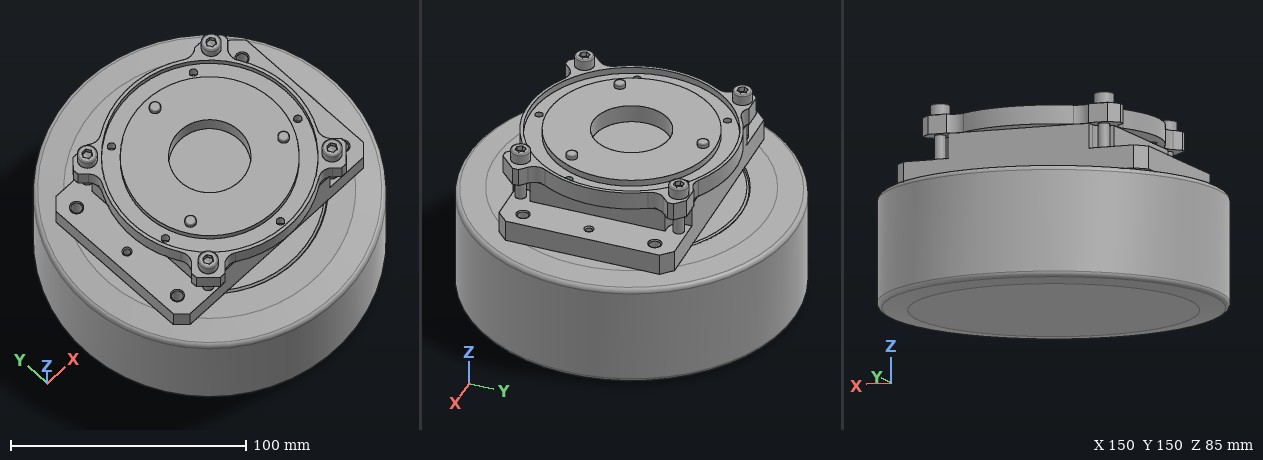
import cadquery as cq
import math

drum_diameter = 150
drum_height = 50.0
flat_diameter = 124.0
end_slope = 5
rim_fillet = 2.1
groove_diameter = 99.9
groove_depth = 0.9
groove_inner_flank = 0.98
groove_outer_flank = 0.5

neck_diameter = 74.0
neck_height = 1.0
plate_length = 115.0
plate_width = 80.0
plate_thickness = 9.9
plate_chamfer = 5.0
block_height = 10.8
relief_radius = 5.2

plate_hole_x = 50.1
thread_y = 30
thread_diameter = 5.0
thread_mouth = 6
dowel_diameter = 3
dowel_mouth = 4.2
dowel_depth = 6

flange_diameter = 95.0
flange_thickness = 8.2
recess_diameter = 92.0
recess_depth = 3
hub_diameter = 76.0
bore_diameter = 35.0
lug_width = 14.1
lug_overhang = 6
lug_chamfer = 2.0
lug_fillet = 6
lug_limit_y = 41.0
recess_hole_count = 5
recess_hole_diameter = 3.5
recess_hole_radius = 42.2
pin_count = 3
pin_diameter = 5.0
pin_height = 1.8
pin_fillet = 0.38
pin_radius = 32.5

overall_height = 85.0
screw_x = 37.5
screw_y = 36
shank_diameter = 5.0
head_diameter = 8.5
head_fillet = 0.6
socket_width = 4.0
socket_depth = 3.5
socket_tip_angle = 30

plate_bottom = drum_height + neck_height
plate_top = plate_bottom + plate_thickness
flange_bottom = plate_top + block_height
flange_top = flange_bottom + flange_thickness
recess_floor = flange_top - recess_depth

sides = [(sx, sy) for sx in (-1, 1) for sy in (-1, 1)]
screw_points = [(sx * screw_x, sy * screw_y) for sx, sy in sides]


def cylinder(diameter, bottom, top, points=((0, 0),)):
    """Upright cylinders between two levels, one at each point."""
    return (
        cq.Workplane("XY", origin=(0, 0, bottom))
        .pushPoints(list(points))
        .circle(diameter / 2)
        .extrude(top - bottom)
    )


def ring_of_points(count, radius, start_angle):
    """Equally spaced points on a circle about the Z axis."""
    angles = [math.radians(start_angle + i * 360 / count) for i in range(count)]
    return [(radius * math.cos(a), radius * math.sin(a)) for a in angles]


def make_drum():
    radius = drum_diameter / 2
    flat = flat_diameter / 2
    slope = math.radians(end_slope)
    drop = (radius - flat) * math.tan(slope)
    tangent_length = rim_fillet * math.tan((math.pi / 2 - slope) / 2)
    fillet_radius = radius - tangent_length * math.cos(slope)
    fillet_drop = drop - tangent_length * math.sin(slope)
    side_start = drop + tangent_length
    groove = groove_diameter / 2
    return (
        cq.Workplane("YZ")
        .lineTo(flat, 0)
        .lineTo(fillet_radius, fillet_drop)
        .tangentArcPoint((radius, side_start), relative=False)
        .lineTo(radius, drum_height - side_start)
        .tangentArcPoint((fillet_radius, drum_height - fillet_drop), relative=False)
        .lineTo(flat, drum_height)
        .lineTo(groove + groove_outer_flank, drum_height)
        .lineTo(groove, drum_height - groove_depth)
        .lineTo(groove - groove_inner_flank, drum_height)
        .lineTo(0, drum_height)
        .close()
        .revolve(360, (0, 0, 0), (0, 1, 0))
    )


def countersunk_hole(diameter, mouth, depth, points):
    """Cutter for holes from the plate top with a 45 degree mouth."""
    chamfer = (mouth - diameter) / 2
    hole = cylinder(diameter, plate_top - depth, plate_top, points)
    cone = (
        cq.Workplane("XY", origin=(0, 0, plate_top))
        .pushPoints(points)
        .circle(mouth / 2)
        .extrude(-chamfer, taper=45)
    )
    return hole.union(cone)


def make_base():
    plate = (
        cq.Workplane("XY", origin=(0, 0, plate_bottom))
        .rect(plate_length, plate_width)
        .extrude(plate_thickness)
        .edges("|Z")
        .chamfer(plate_chamfer)
    )
    threads = [(sx * plate_hole_x, sy * thread_y) for sx, sy in sides]
    dowels = [(-plate_hole_x, 0), (plate_hole_x, 0)]
    plate = plate.cut(countersunk_hole(thread_diameter, thread_mouth, plate_thickness, threads))
    plate = plate.cut(countersunk_hole(dowel_diameter, dowel_mouth, dowel_depth, dowels))

    block = (
        cq.Workplane("XY", origin=(0, 0, plate_top))
        .rect(plate_width, plate_width)
        .extrude(block_height)
    )
    notch_size = 4 * relief_radius
    for sx, sy in sides:
        centre_x = sx * (screw_x - relief_radius + notch_size / 2)
        centre_y = sy * (screw_y - relief_radius + notch_size / 2)
        notch = (
            cq.Workplane("XY", origin=(centre_x, centre_y, plate_top))
            .rect(notch_size, notch_size)
            .extrude(block_height)
            .edges("|Z")
            .fillet(relief_radius)
        )
        block = block.cut(notch)

    neck = cylinder(neck_diameter, drum_height, plate_bottom)
    return neck.union(plate).union(block)


def make_lug(sx, sy):
    """Arm along a diagonal, centred on one screw, from near the axis to its end face."""
    start = flange_diameter / 4
    diagonal = (screw_x + screw_y) / math.sqrt(2)
    shift = (screw_y - screw_x) / math.sqrt(2)
    length = diagonal + lug_overhang - start
    lug = (
        cq.Workplane("XY")
        .center(start + length / 2, shift)
        .rect(length, lug_width)
        .extrude(flange_thickness)
        .edges("|Z and >X")
        .chamfer(lug_chamfer)
        .rotate((0, 0, 0), (0, 0, 1), 45)
    )
    if sx < 0:
        lug = lug.mirror("YZ")
    if sy < 0:
        lug = lug.mirror("XZ")
    return lug.translate((0, 0, flange_bottom))


def make_flange():
    radius = flange_diameter / 2
    tolerance = 0.02
    flange = cylinder(flange_diameter, flange_bottom, flange_top)
    for sx, sy in sides:
        flange = flange.union(make_lug(sx, sy))

    def in_lug_corner(edge):
        centre = edge.Center()
        on_ring = abs(math.hypot(centre.x, centre.y) - radius) < tolerance
        off_axis = abs(centre.y) > tolerance
        return on_ring and off_axis

    corners = [e for e in flange.edges("|Z").vals() if in_lug_corner(e)]
    flange = flange.newObject(corners).fillet(lug_fillet)

    limit_x = math.sqrt(radius ** 2 - lug_limit_y ** 2)
    for sx in (-1, 1):
        trim = (
            cq.Workplane("XY", origin=(0, 0, flange_bottom))
            .moveTo(sx * limit_x, lug_limit_y)
            .lineTo(sx * radius, lug_limit_y)
            .lineTo(sx * radius, radius)
            .lineTo(sx * limit_x, radius)
            .close()
            .extrude(flange_thickness)
        )
        flange = flange.cut(trim)

    hub = cylinder(hub_diameter, recess_floor, flange_top)
    holes = ring_of_points(recess_hole_count, recess_hole_radius, -90)
    pin_points = ring_of_points(pin_count, pin_radius, 90)
    pins = cylinder(pin_diameter, flange_top, flange_top + pin_height, pin_points)
    pins = pins.faces(">Z").edges().fillet(pin_fillet)
    return (
        flange.cut(cylinder(recess_diameter, recess_floor, flange_top))
        .union(hub)
        .cut(cylinder(bore_diameter, flange_bottom, flange_top))
        .cut(cylinder(recess_hole_diameter, flange_bottom, recess_floor, holes))
        .union(pins)
    )


def make_socket():
    """Hexagon with a conical bottom, its mouth centred on the origin."""
    corner_radius = socket_width / math.sqrt(3)
    cone_radius = socket_depth / math.tan(math.radians(socket_tip_angle))
    hexagon = cq.Workplane("XY").polygon(6, 2 * corner_radius).extrude(-socket_depth)
    cone = (
        cq.Workplane("XZ")
        .polyline([(0, -socket_depth), (cone_radius, 0), (0, 0)])
        .close()
        .revolve(360, (0, 0, 0), (0, 1, 0))
    )
    return hexagon.intersect(cone)


def make_screw(x, y):
    head = (
        cylinder(head_diameter, flange_top, overall_height)
        .faces(">Z")
        .edges()
        .fillet(head_fillet)
        .cut(make_socket().translate((0, 0, overall_height)))
    )
    shank = cylinder(shank_diameter, plate_top, flange_top)
    return shank.union(head).translate((x, y, 0))


result = make_drum().union(make_base()).union(make_flange())
for x, y in screw_points:
    result = result.union(make_screw(x, y))